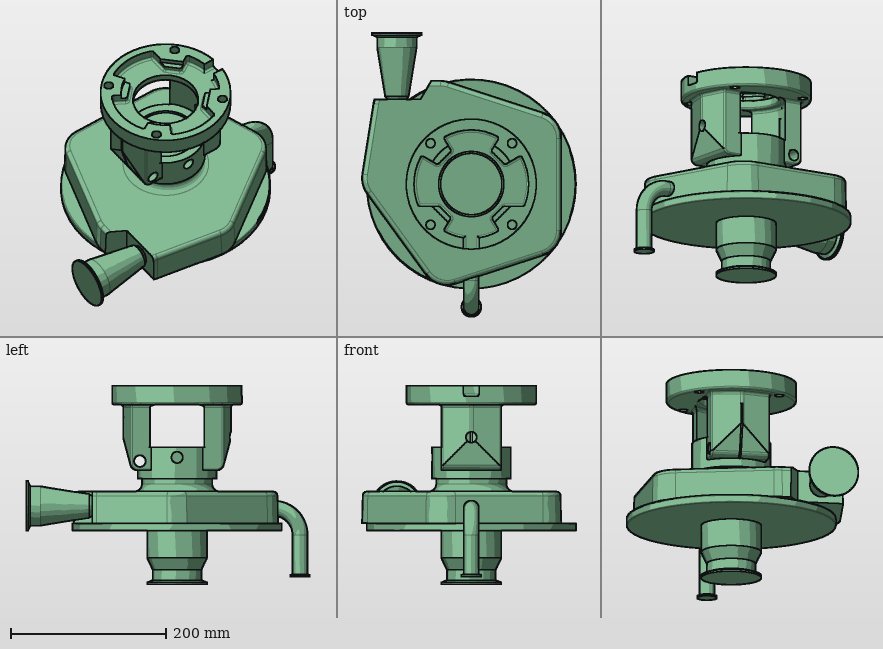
import cadquery as cq
import math


plate_radius = 135.0
plate_thickness = 10.0
plate_edge_round = 1.0
casing_top = 50.5
casing_draft = 1.5
casing_corner_radius = 34.5
casing_top_round = 5.5
casing_apothem = 116.0
casing_walls = [
    (0, casing_apothem),
    (72, casing_apothem),
    (90, 133.0),
    (171, 140.8),
    (216, casing_apothem),
    (288, casing_apothem),
]
outlet_face_y = 109.0
outlet_face_end_x = -65.5
tongue_angle = 60

neck_radius = 45.5
neck_fillet = 10.0
bearing_radius = 51.0
bearing_bottom = 67.0
bearing_top = 107.5
recess_radius = 39.5
recess_depth = 3.5
tapped_hole_radius = 7.3
grease_hole_z = 94.5
grease_hole_depth = 18.3

suction_radius = 38.8
suction_cone_top = -35.0
suction_cone_bottom = -50.5
suction_pipe_radius = 31.5
suction_end = -69.0

ferrule_lip = 3.0
ferrule_cone = 2.5

outlet_x = -95.8
outlet_z = 31.8
outlet_pipe_radius = 25.5
outlet_ferrule_radius = 32.0
outlet_end_y = 194.5
outlet_cone_end_y = 176.3
outlet_cone_start_y = 113.5
outlet_cone_radius = 15.5
outlet_throat_radius = 12.5
outlet_overlap = 7.3

drain_radius = 10.0
drain_z = 29.0
drain_y = -158.5
drain_bend_radius = 34.5
drain_root_y = -87.8
drain_end = -59.2
drain_ferrule_radius = 12.8
drain_ferrule_lip = 2.2
drain_ferrule_cone = 1.0

flange_radius = 83.7
flange_thickness = 24.5
flange_top = 187.0
flange_bottom = flange_top - flange_thickness
flange_edge_round = 3.0
flange_bore_radius = 42.0
flange_bore_round = 2.5
pocket_radius = 74.0
pocket_end_radius = 70.0
pocket_depth = 13.5
pocket_round = 3.0
notch_width = 20.0
lug_angle = 45
lug_half_angle = 15
lug_pole_half_angle = 14
upper_lug_reach = 48.3
lower_lug_reach = 49.5
lug_flat_y = -28.5
lug_step_radius = 57.5
lug_step_flat = 56.0
lug_step_depth = 6.2
bolt_circle_radius = 74.2
bolt_hole_radius = 6.0

leg_width = 77.0
leg_bottom = 77.5
leg_ridge_y = 70.0
leg_bore_radius = 52.0
leg_slope = 15
leg_taper_top = 120.5
leg_ridge_round = 8.8
leg_side_round = 2.2
leg_toe_round = 10.0
leg_root_fillet = 3.5
front_hole_z = 120.3
front_hole_radius = 7.0
clamp_hole_y = 48.0
clamp_hole_z = 89.5
slit_width = 2.2
slit_top = 146.3

selection_margin = 0.5


def revolve_about_z(points):
    """Solid of revolution from (radius, z) points."""
    return cq.Workplane("XZ").polyline(points).close().revolve(360, (0, 0), (0, 1))


def cylinder(radius, bottom, top):
    return cq.Workplane("XY").workplane(offset=bottom).circle(radius).extrude(top - bottom)


def edges_within(half_width, low_y, high_y, z):
    """Selector for edges centred at height z, up to half_width from the YZ plane."""
    return cq.selectors.BoxSelector(
        (-half_width - selection_margin, low_y - selection_margin, z - selection_margin),
        (half_width + selection_margin, high_y + selection_margin, z + selection_margin),
    )


def ferrule_points(pipe_radius, lip_radius, end, lip, cone):
    """(radius, position) points of a clamp ferrule; the pipe comes from higher positions."""
    return [
        (pipe_radius, end + lip + cone),
        (lip_radius - cone / 2, end + lip),
        (lip_radius, end + lip),
        (lip_radius, end),
        (0, end),
    ]


def wall_crossing(first, second):
    """Point where two casing walls meet."""
    a, p = math.radians(first[0]), first[1]
    b, q = math.radians(second[0]), second[1]
    scale = math.sin(b - a)
    return (
        (p * math.sin(b) - q * math.sin(a)) / scale,
        (q * math.cos(a) - p * math.cos(b)) / scale,
    )


def make_casing():
    next_walls = casing_walls[1:] + casing_walls[:1]
    corners = [wall_crossing(a, b) for a, b in zip(casing_walls, next_walls)]
    outline = cq.Workplane("XY").polyline(corners).close().extrude(3.5)
    outline = outline.edges("|Z").fillet(casing_corner_radius)
    casing = (
        cq.Workplane("XY")
        .add(outline.faces("<Z").wires().vals())
        .toPending()
        .extrude(casing_top - plate_thickness, taper=casing_draft)
        .translate((0, 0, plate_thickness))
    )
    casing = casing.faces(">Z").edges().fillet(casing_top_round)

    depth = plate_radius - outlet_face_y + casing_corner_radius
    run = depth / math.tan(math.radians(tongue_angle))
    cutaway = (
        cq.Workplane("XY")
        .moveTo(outlet_face_end_x, outlet_face_y)
        .line(run, depth)
        .hLineTo(-2 * plate_radius)
        .vLineTo(outlet_face_y)
        .close()
        .extrude(casing_top)
    )
    return casing.cut(cutaway)


def make_plate():
    plate = cylinder(plate_radius, 0, plate_thickness)
    return plate.edges().fillet(plate_edge_round)


def make_neck_and_bearing():
    fillet_mid = neck_fillet * (1 - math.sqrt(0.5))
    body = (
        cq.Workplane("XZ")
        .moveTo(0, plate_thickness)
        .hLineTo(neck_radius + neck_fillet)
        .vLineTo(casing_top)
        .threePointArc(
            (neck_radius + fillet_mid, casing_top + fillet_mid),
            (neck_radius, casing_top + neck_fillet),
        )
        .vLineTo(bearing_bottom)
        .hLineTo(bearing_radius)
        .vLineTo(bearing_top)
        .hLineTo(recess_radius)
        .vLineTo(bearing_top - recess_depth)
        .hLineTo(0)
        .close()
        .revolve(360, (0, 0), (0, 1))
    )
    grease_hole = (
        cq.Workplane("YZ")
        .workplane(offset=-bearing_radius)
        .center(0, grease_hole_z)
        .circle(tapped_hole_radius)
        .extrude(grease_hole_depth)
    )
    return body.cut(grease_hole)


def make_suction():
    pipe = [
        (0, plate_thickness),
        (suction_radius, plate_thickness),
        (suction_radius, suction_cone_top),
        (suction_pipe_radius, suction_cone_bottom),
    ]
    return revolve_about_z(
        pipe + ferrule_points(suction_pipe_radius, suction_radius, suction_end, ferrule_lip, ferrule_cone)
    )


def make_outlet():
    root = outlet_overlap - outlet_face_y
    pipe = [
        (0, root),
        (outlet_throat_radius, root),
        (outlet_throat_radius, -outlet_face_y),
        (outlet_cone_radius, -outlet_cone_start_y),
        (outlet_pipe_radius, -outlet_cone_end_y),
    ]
    ferrule = ferrule_points(
        outlet_pipe_radius, outlet_ferrule_radius, -outlet_end_y, ferrule_lip, ferrule_cone
    )
    nozzle = revolve_about_z(pipe + ferrule)
    return nozzle.rotate((0, 0, 0), (1, 0, 0), 90).translate((outlet_x, 0, outlet_z))


def make_drain():
    bend_start_y = drain_y + drain_bend_radius
    bend_end_z = drain_z - drain_bend_radius
    bend_mid = drain_bend_radius * math.sqrt(0.5)
    path = (
        cq.Workplane("YZ")
        .moveTo(drain_root_y, drain_z)
        .lineTo(bend_start_y, drain_z)
        .threePointArc((bend_start_y - bend_mid, bend_end_z + bend_mid), (drain_y, bend_end_z))
        .lineTo(drain_y, drain_end + drain_ferrule_lip)
    )
    pipe = (
        cq.Workplane("XZ", origin=(0, drain_root_y, drain_z))
        .circle(drain_radius)
        .sweep(path)
    )
    ferrule = ferrule_points(
        drain_radius, drain_ferrule_radius, drain_end, drain_ferrule_lip, drain_ferrule_cone
    )
    foot = revolve_about_z([(0, drain_end + drain_ferrule_lip + drain_ferrule_cone)] + ferrule)
    return pipe.union(foot.translate((0, drain_y, 0)))


def make_leg():
    """Leg on the -Y side: a prow-shaped block, tapered in at the toe."""
    half_width = leg_width / 2
    slope = math.tan(math.radians(leg_slope))
    side_y = leg_ridge_y - half_width * slope
    leg = (
        cq.Workplane("XY")
        .workplane(offset=leg_bottom)
        .polyline([
            (-half_width, 0),
            (-half_width, -side_y),
            (0, -leg_ridge_y),
            (half_width, -side_y),
            (half_width, 0),
        ])
        .close()
        .extrude(flange_bottom - leg_bottom)
    )
    leg = leg.edges("|Z").edges("<Y").fillet(leg_ridge_round)
    side_edges = edges_within(half_width, -side_y, -side_y, (leg_bottom + flange_bottom) / 2)
    leg = leg.edges("|Z").edges(side_edges).fillet(leg_side_round)

    taper_run = (leg_taper_top - leg_bottom) * slope
    profile = (
        cq.Workplane("YZ")
        .polyline([
            (0, leg_bottom),
            (0, flange_bottom),
            (-leg_ridge_y, flange_bottom),
            (-leg_ridge_y, leg_taper_top),
            (-leg_ridge_y + taper_run, leg_bottom),
        ])
        .close()
        .extrude(half_width, both=True)
    )
    profile = profile.faces("<Z").edges("<Y").fillet(leg_toe_round)
    profile = profile.faces("<Z").edges("|Y").fillet(leg_side_round)
    leg = leg.intersect(profile)

    leg = leg.cut(cylinder(leg_bore_radius, bearing_top, flange_bottom))
    return leg.cut(cylinder(recess_radius, leg_bottom, bearing_top))


def polar(radius, angle):
    return radius * math.cos(math.radians(angle)), radius * math.sin(math.radians(angle))


def lug_corner(reach, middle, swing):
    """Point on the flat inner face of a lug, turned by swing from the lug's middle direction."""
    return polar(reach / math.cos(math.radians(swing)), middle + swing)


def make_flange_pocket():
    """Volume removed from the top of the flange: a round pocket with four lugs left standing."""
    floor_z = flange_top - pocket_depth
    pocket = cylinder(pocket_radius, floor_z, flange_top)
    side_band = cq.Workplane("XY").workplane(offset=floor_z).rect(2 * pocket_radius, pocket_radius)
    pocket = pocket.intersect(side_band.extrude(pocket_depth))
    pocket = pocket.union(cylinder(pocket_end_radius, floor_z, flange_top))
    far = flange_radius + pocket_round
    for side in (1, -1):
        upper = [
            lug_corner(upper_lug_reach, lug_angle, -lug_half_angle),
            polar(far, lug_angle - lug_half_angle),
            polar(far, lug_angle + lug_pole_half_angle),
            lug_corner(upper_lug_reach, lug_angle, lug_pole_half_angle),
        ]
        lower = [
            lug_corner(lower_lug_reach, -lug_angle, -lug_pole_half_angle),
            polar(far, -lug_angle - lug_pole_half_angle),
            (far, -far),
            (far, lug_flat_y),
            (lower_lug_reach * math.sqrt(2) + lug_flat_y, lug_flat_y),
        ]
        for outline in (upper, lower):
            lug = (
                cq.Workplane("XY")
                .workplane(offset=floor_z)
                .polyline([(side * x, y) for x, y in outline])
                .close()
                .extrude(pocket_depth)
            )
            pocket = pocket.cut(lug)
    pocket = pocket.edges("|Z").fillet(pocket_round)
    notch = (
        cq.Workplane("XY")
        .workplane(offset=floor_z)
        .center(0, -far / 2)
        .rect(notch_width, far)
        .extrude(pocket_depth)
    )
    pocket = pocket.union(notch)
    return pocket.faces("<Z").edges().fillet(pocket_round)


def make_flange():
    flange = cylinder(flange_radius, flange_bottom, flange_top)
    return flange.faces("<Z").edges().fillet(flange_edge_round)


def make_lug_steps():
    """Lowered inner ends of the lugs: a round step on the upper two, straight on the lower two."""
    floor_z = flange_top - lug_step_depth
    step = cylinder(lug_step_radius, floor_z, flange_top)
    reach = 2 * lug_step_flat
    diamond = cq.Workplane("XY").workplane(offset=floor_z).rect(reach, reach).extrude(lug_step_depth)
    lower_half = (
        cq.Workplane("XY")
        .workplane(offset=floor_z)
        .center(0, -reach / 2)
        .rect(2 * reach, reach)
        .extrude(lug_step_depth)
    )
    lower_steps = diamond.rotate((0, 0, 0), (0, 0, 1), lug_angle).intersect(lower_half)
    lower_steps = lower_steps.intersect(cylinder(pocket_radius, floor_z, flange_top))
    return step.cut(lower_half).union(lower_steps)


def make_bolt_holes():
    offset = bolt_circle_radius * math.sqrt(2)
    return (
        cq.Workplane("XY")
        .workplane(offset=flange_bottom)
        .rect(offset, offset, forConstruction=True)
        .vertices()
        .circle(bolt_hole_radius)
        .extrude(flange_thickness)
    )


def make_motor_mount():
    leg = make_leg()
    front_hole = (
        cq.Workplane("XZ").center(0, front_hole_z).circle(front_hole_radius).extrude(leg_ridge_y)
    )
    mount = make_flange().union(leg.cut(front_hole)).union(leg.rotate((0, 0, 0), (0, 0, 1), 180))
    leg_roots = edges_within(leg_width / 2, -leg_ridge_y, leg_ridge_y, flange_bottom)
    mount = mount.edges(leg_roots).fillet(leg_root_fillet)
    mount = mount.cut(cylinder(flange_bore_radius, flange_bottom, flange_top))
    bore_mouth = edges_within(leg_width / 2, 0, 0, flange_bottom)
    mount = mount.edges("%CIRCLE").edges(bore_mouth).edges(cq.selectors.RadiusNthSelector(0))
    mount = mount.fillet(flange_bore_round)
    return mount.cut(make_flange_pocket()).cut(make_lug_steps()).cut(make_bolt_holes())


def make_clamp_hole():
    """Bolt hole along X through the +Y leg."""
    return (
        cq.Workplane("YZ")
        .center(clamp_hole_y, clamp_hole_z)
        .circle(tapped_hole_radius)
        .extrude(leg_width, both=True)
    )


def make_clamp_slit():
    """Narrow slit that splits the +Y leg and the rim behind it."""
    return (
        cq.Workplane("XY")
        .workplane(offset=leg_bottom)
        .center(0, (recess_radius + leg_ridge_y) / 2)
        .rect(slit_width, leg_ridge_y - recess_radius)
        .extrude(slit_top - leg_bottom)
    )


result = make_plate().union(make_casing()).union(make_neck_and_bearing()).union(make_suction())
result = result.union(make_outlet()).union(make_drain()).union(make_motor_mount())
result = result.cut(make_clamp_hole()).cut(make_clamp_slit())